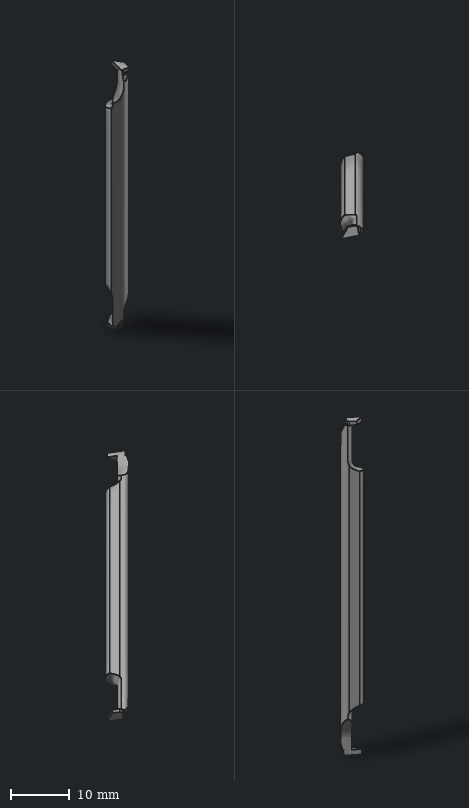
import cadquery as cq
import math

LENGTH = 60.0
BAR_RADIUS = 2.01
BAR_WIDTH = 3.6
END_Z = LENGTH / 2
HALF_WIDTH = BAR_WIDTH / 2
CLEAR = 2 * BAR_RADIUS

HOOK_THICKNESS = 0.95
TIP_X = -1.75
TIP_LAND_X = -1.55
TIP_CORNER_X = -0.35
LAND_DEPTH = 0.4
HEEL_X = 1.5
HEEL_RELIEF_X = 1.25
END_CLEARANCE = 0.25

NECK_RADIUS = 1.8
NECK_X = NECK_RADIUS
NECK_BLEND_RADIUS = 2.0
NECK_END_DEPTH = 7.25

FLAT_DEPTH = 3.3
RUNOUT_RADIUS = 4.75

BACK_START_DEPTH = 0.5
BACK_END_DEPTH = 2.3


def make_bar():
    """Full-length bar with flats on its -Y and +Y sides."""
    bar = cq.Workplane("XY").circle(BAR_RADIUS).extrude(LENGTH)
    flats = cq.Workplane("XY").rect(2 * CLEAR, BAR_WIDTH).extrude(LENGTH)
    return bar.intersect(flats).translate((0, 0, -END_Z))


def flat_cutter():
    """Removes the -Y half of the end and curves out to the side of the bar."""
    flat_end_z = END_Z - FLAT_DEPTH
    arc_angle = math.acos(1 - HALF_WIDTH / RUNOUT_RADIUS)
    runout_z = flat_end_z - RUNOUT_RADIUS * math.sin(arc_angle)
    mid_y = -RUNOUT_RADIUS * (1 - math.cos(arc_angle / 2))
    mid_z = flat_end_z - RUNOUT_RADIUS * math.sin(arc_angle / 2)
    return (
        cq.Workplane("YZ")
        .moveTo(0, END_Z + CLEAR)
        .lineTo(0, flat_end_z)
        .threePointArc((mid_y, mid_z), (-HALF_WIDTH, runout_z))
        .lineTo(-CLEAR, runout_z)
        .lineTo(-CLEAR, END_Z + CLEAR)
        .close()
        .extrude(CLEAR, both=True)
    )


def neck_cutter():
    """Ring around the neck, with a quarter-round blend at its inner end."""
    hook_z = END_Z - HOOK_THICKNESS
    neck_end_z = END_Z - NECK_END_DEPTH
    blend_outer = NECK_RADIUS + NECK_BLEND_RADIUS
    blend_z = neck_end_z - NECK_BLEND_RADIUS
    blend_share = 1 - math.sqrt(0.5)
    blend_mid = (
        NECK_RADIUS + NECK_BLEND_RADIUS * blend_share,
        blend_z + NECK_BLEND_RADIUS * blend_share,
    )
    return (
        cq.Workplane("XZ")
        .moveTo(NECK_RADIUS, hook_z)
        .lineTo(NECK_RADIUS, neck_end_z)
        .threePointArc(blend_mid, (blend_outer, blend_z))
        .lineTo(NECK_X + CLEAR, blend_z)
        .lineTo(NECK_X + CLEAR, hook_z)
        .close()
        .revolve(360, (0, 0, 0), (0, 1, 0))
        .translate((NECK_X, 0, 0))
    )


def hook_cutter():
    """Everything around the relieved outline of the hook."""
    bottom_z = END_Z - HOOK_THICKNESS
    block = cq.Workplane("XY").rect(2 * CLEAR, 2 * CLEAR).extrude(HOOK_THICKNESS)
    outline = (
        cq.Workplane("XY")
        .polyline([
            (TIP_X, 0),
            (TIP_LAND_X, LAND_DEPTH),
            (TIP_CORNER_X, HALF_WIDTH),
            (HEEL_RELIEF_X, HALF_WIDTH),
            (HEEL_RELIEF_X, LAND_DEPTH),
            (HEEL_X, 0),
        ])
        .close()
        .extrude(HOOK_THICKNESS)
    )
    return block.cut(outline).translate((0, 0, bottom_z))


def end_clearance_cutter():
    """Tilts the end face so that only its edge on the flat reaches full length."""
    return (
        cq.Workplane("YZ")
        .polyline([(0, END_Z), (HALF_WIDTH, END_Z - END_CLEARANCE), (HALF_WIDTH, END_Z)])
        .close()
        .extrude(CLEAR, both=True)
    )


def back_cutter():
    """Slopes the back of the neck in towards the hook."""
    return (
        cq.Workplane("XZ")
        .polyline([
            (HEEL_X, END_Z - BACK_START_DEPTH),
            (BAR_RADIUS, END_Z - BACK_END_DEPTH),
            (BAR_RADIUS, END_Z - BACK_START_DEPTH),
        ])
        .close()
        .extrude(CLEAR, both=True)
    )


boring_bar = make_bar()
end_cutters = [flat_cutter(), neck_cutter(), hook_cutter(), end_clearance_cutter(), back_cutter()]
for turn in (0, 180):
    for cutter in end_cutters:
        boring_bar = boring_bar.cut(cutter.rotate((0, 0, 0), (1, 0, 0), turn))

result = cq.Compound.makeCompound([boring_bar.val()])